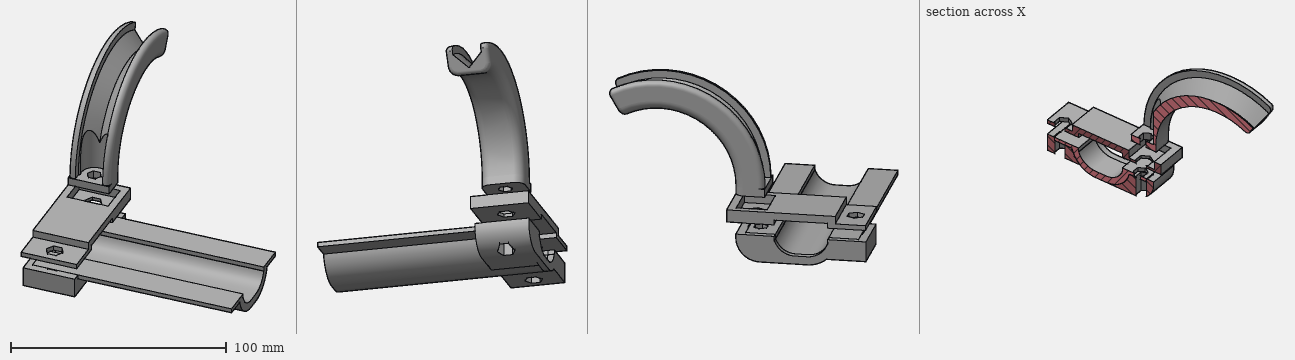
import cadquery as cq

gap = 6.0

trough_start_x = 4.0
trough_length = 100.0
trough_edge_y = 4.0
trough_width = 53.3
flange_thickness = 2.2
floor_width = 6.0
inner_radius = 10.0
wall_thickness = 4.0
mouth_width = 25.2
arc_rise = 1.0
trough_mid_y = trough_edge_y + trough_width / 2
mouth_edge_y = trough_mid_y - mouth_width / 2
outer_radius = inner_radius + wall_thickness
trough_height = outer_radius - arc_rise
flange_z = trough_height - flange_thickness

saddle_start_x = 1.0
saddle_length = 26.0
saddle_width = 61.5
saddle_ledge_z = 3.3
saddle_corner_radius = 11.3

plate_length = 27.9
plate_width = 65.6
plate_thickness = 6.0
tab_width = 14.3
tab_thickness = 2.3
relief_depth = 2.3
pocket_edge_y = 47.0
pocket_width = 14.6
pocket_depth = 4.4
plate_z = trough_height + gap
plate_top_z = plate_z + plate_thickness

hook_width = 20.6
hook_axis_y = 98.0
hook_outer_radius = 49.4
arm_thickness = 14.0
hook_sweep = 120
rim_fillet = 2.3
back_fillet = 4.6
tip_fillet = 2.2
foot_height = 3.9
foot_lip = 0.4
groove_width = 13.7
groove_wall = 3.7
groove_overrun = 5
screw_bore_radius = 6.5
hook_inner_radius = hook_outer_radius - arm_thickness
hook_z = plate_top_z + gap
hook_axis_z = hook_z + foot_height

clamp_hex_size = 8.4
small_hex_size = 7.0
clamp_hole_ys = (7.2, 54.1)
trough_hole_y = 51.9
hook_hole_y = 55.2

center_x = plate_length / 2


def box(x, y, z, size_x, size_y, size_z):
    """Block given by its lowest corner and its sizes."""
    return cq.Workplane("XY").box(size_x, size_y, size_z, centered=False).translate((x, y, z))


def hexagon_cut(y, size):
    """Hexagonal prism from the ground to the top of the hook foot, corners toward +X and -X."""
    return cq.Workplane("XY").center(center_x, y).polygon(6, size).extrude(hook_axis_z)


def round_bar(radius, start_x, length, top_z):
    """Bar along X with a flat bottom between two round sides, cut off level at top_z."""
    bar = (
        cq.Workplane("YZ", origin=(start_x, trough_mid_y, outer_radius))
        .slot2D(floor_width + 2 * radius, 2 * radius)
        .extrude(length)
    )
    return bar.intersect(box(start_x, 0, 0, length, saddle_width, top_z))


def mouth_cut(start_x, length):
    """Inner space of the trough: straight mouth between the flanges, round channel below."""
    mouth = box(start_x, mouth_edge_y, flange_z, length, mouth_width, flange_thickness)
    return round_bar(inner_radius, start_x, length, flange_z).union(mouth)


def trough_blank():
    """Outside of the trough: round-bottomed body under a wide flat flange."""
    flange = box(trough_start_x, trough_edge_y, flange_z, trough_length, trough_width, flange_thickness)
    return round_bar(outer_radius, trough_start_x, trough_length, trough_height).union(flange)


def make_trough():
    trough = trough_blank().cut(mouth_cut(trough_start_x, trough_length))
    return trough.cut(hexagon_cut(trough_hole_y, small_hex_size))


def make_saddle():
    """Block with a rounded +Y corner and a raised -Y ledge, recessed to take the trough."""
    floor_edge_y = trough_mid_y - floor_width / 2
    block = box(saddle_start_x, floor_edge_y, 0, saddle_length, saddle_width - floor_edge_y, trough_height)
    block = block.edges("|X and >Y and <Z").fillet(saddle_corner_radius)
    ledge = box(saddle_start_x, 0, saddle_ledge_z, saddle_length, floor_edge_y, trough_height - saddle_ledge_z)
    belly = round_bar(outer_radius, saddle_start_x, saddle_length, trough_height)
    saddle = block.union(ledge).union(belly)
    saddle = saddle.cut(mouth_cut(saddle_start_x, saddle_length)).cut(trough_blank())
    for hole_y in clamp_hole_ys:
        saddle = saddle.cut(hexagon_cut(hole_y, clamp_hex_size))
    return saddle


def make_plate():
    """Cover plate with a thin tab, a relief over the trough mouth and a pocket for the hook foot."""
    plate = box(0, 0, plate_z, plate_length, plate_width, plate_thickness)
    step = box(0, 0, plate_z + tab_thickness, plate_length, tab_width, plate_thickness - tab_thickness)
    relief = box(0, mouth_edge_y, plate_z, plate_length, mouth_width, relief_depth)
    pocket = box(
        center_x - hook_width / 2, pocket_edge_y, plate_top_z - pocket_depth,
        hook_width, pocket_width, pocket_depth,
    )
    plate = plate.cut(step).cut(relief).cut(pocket)
    for hole_y in clamp_hole_ys:
        plate = plate.cut(hexagon_cut(hole_y, clamp_hex_size))
    return plate


def bend_start():
    """Start plane of the bend: local X across the hook, local Y pointing away from the hook axis."""
    start_plane = cq.Plane(origin=(center_x, hook_axis_y, hook_axis_z), xDir=(-1, 0, 0), normal=(0, 0, 1))
    return cq.Workplane(start_plane)


def bend(section, sweep):
    """Revolve a section drawn on the start plane about the hook axis, up and over toward +Y."""
    return section.revolve(sweep, (0, 0, 0), (1, 0, 0))


def make_arm():
    """Curved arm with rounded rims, a more rounded back and a rounded tip."""
    half_width = hook_width / 2
    section = (
        bend_start()
        .moveTo(-half_width, hook_inner_radius + back_fillet)
        .lineTo(-half_width, hook_outer_radius - rim_fillet)
        .radiusArc((-half_width + rim_fillet, hook_outer_radius), rim_fillet)
        .lineTo(half_width - rim_fillet, hook_outer_radius)
        .radiusArc((half_width, hook_outer_radius - rim_fillet), rim_fillet)
        .lineTo(half_width, hook_inner_radius + back_fillet)
        .radiusArc((half_width - back_fillet, hook_inner_radius), back_fillet)
        .lineTo(-half_width + back_fillet, hook_inner_radius)
        .radiusArc((-half_width, hook_inner_radius + back_fillet), back_fillet)
        .close()
    )
    return bend(section, hook_sweep).faces(">Y").edges().fillet(tip_fillet)


def make_foot():
    """Straight block under the arm, rounded on its back edges only."""
    foot = box(
        center_x - hook_width / 2, hook_axis_y - hook_outer_radius - foot_lip, hook_z,
        hook_width, arm_thickness + foot_lip, foot_height,
    )
    return foot.edges("|Z and >Y").fillet(back_fillet)


def make_groove():
    """Groove with straight walls and a 90 degree V floor, open toward the outside of the bend."""
    half_width = groove_width / 2
    shoulder = hook_outer_radius - groove_wall
    clear_of_rim = hook_outer_radius + groove_wall
    section = (
        bend_start()
        .moveTo(-half_width, clear_of_rim)
        .lineTo(-half_width, shoulder)
        .lineTo(0, shoulder - half_width)
        .lineTo(half_width, shoulder)
        .lineTo(half_width, clear_of_rim)
        .close()
    )
    return bend(section, hook_sweep + groove_overrun)


def make_hook():
    """Grooved arm on its foot, with room for the screw head above the foot."""
    screw_bore = (
        cq.Workplane("XY", origin=(center_x, hook_hole_y, hook_axis_z))
        .circle(screw_bore_radius)
        .extrude(hook_outer_radius)
    )
    hook = make_arm().union(make_foot()).cut(make_groove()).cut(screw_bore)
    return hook.cut(hexagon_cut(hook_hole_y, small_hex_size))


trough = make_trough().solids()
saddle = make_saddle().solids()
plate = make_plate().solids()
hook = make_hook().solids()

result = cq.Compound.makeCompound([trough.val(), saddle.val(), plate.val(), hook.val()])